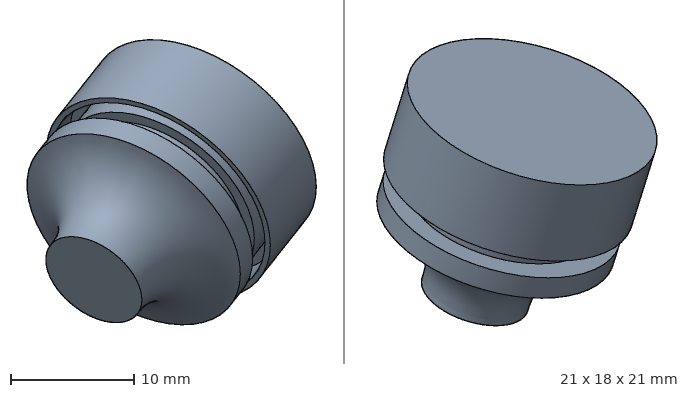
import cadquery as cq

sleeve_diameter = 21.0
bore_diameter = 20.0
boss_diameter = 18.0
neck_diameter = 16.0
flange_diameter = 20.0
tip_diameter = 9.0

total_length = 18.0
sleeve_length = 7.5
neck_length = 2.0
flange_length = 2.0
tip_length = 0.5

channel_depth = 3.0

back_y = total_length / 2
rim_y = back_y - sleeve_length
flange_back_y = rim_y - neck_length
flange_front_y = flange_back_y - flange_length
tip_y = -total_length / 2
flare_end_y = tip_y + tip_length

flare_radius = flange_front_y - flare_end_y
flare_center_radius = tip_diameter / 2 + flare_radius


def cylinder(diameter, start_y, end_y):
    """Solid cylinder on the Y axis between two stations."""
    return (
        cq.Workplane("XZ", origin=(0, end_y, 0))
        .circle(diameter / 2)
        .extrude(end_y - start_y)
    )


def flared_nose():
    """Tip and concave flare, widening to the front of the flange."""
    flare_middle = (
        flare_center_radius - flare_radius * 0.5**0.5,
        flare_end_y + flare_radius * 0.5**0.5,
    )
    profile = (
        cq.Workplane("XY")
        .moveTo(0, tip_y)
        .lineTo(tip_diameter / 2, tip_y)
        .lineTo(tip_diameter / 2, flare_end_y)
        .threePointArc(flare_middle, (flare_center_radius, flange_front_y))
        .lineTo(0, flange_front_y)
        .close()
    )
    nose = profile.revolve(360, (0, 0, 0), (0, 1, 0))
    return nose.intersect(cylinder(flange_diameter, tip_y, flange_front_y))


def channeled_sleeve():
    """Outer sleeve with a central boss flush with its front rim."""
    channel_end_y = rim_y + channel_depth
    sleeve = cylinder(sleeve_diameter, rim_y, back_y)
    bore = cylinder(bore_diameter, rim_y, channel_end_y)
    boss = cylinder(boss_diameter, rim_y, channel_end_y)
    return sleeve.cut(bore).union(boss)


neck = cylinder(neck_diameter, flange_back_y, rim_y)
flange = cylinder(flange_diameter, flange_front_y, flange_back_y)

result = channeled_sleeve().union(neck).union(flange).union(flared_nose())